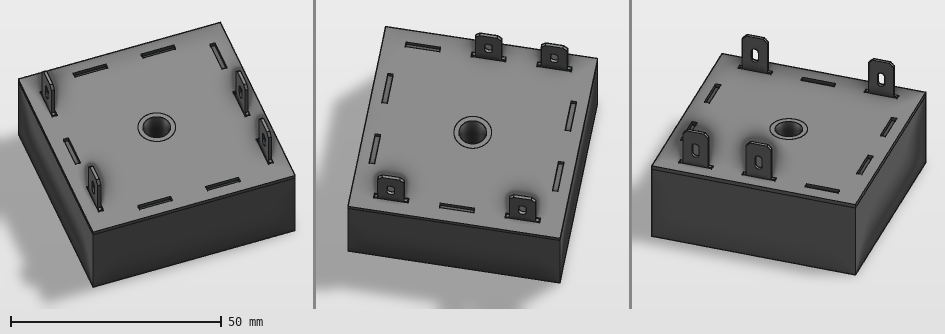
import cadquery as cq

SIDE = 51.3
TOTAL_HEIGHT = 29.45
CASE_HEIGHT = 20.1
LID_THICKNESS = 1.0
HOUSING_HEIGHT = CASE_HEIGHT - LID_THICKNESS

TUBE_DIAMETER = 9.0
BORE_DIAMETER = 6.5

SLOT_LENGTH = 8.3
SLOT_WIDTH = 1.3
SLOT_PITCH = 15.9
ROW_OFFSET = 21.55
SIDE_SLOT_X = 22.15
SIDE_SLOT_Y = 8.6

BLADE_WIDTH = 6.3
BLADE_THICKNESS = 0.75
BLADE_CHAMFER = 1.05
TERMINAL_OFFSET = 21.65
FOOT_WIDTH = 8.05
FOOT_RISE = 0.15
EYE_WIDTH = 1.8
EYE_LENGTH = 3.7
EYE_DROP = 5.15

ROW_SLOTS = [(column * SLOT_PITCH, side * ROW_OFFSET) for column in (-1, 0, 1) for side in (-1, 1)]
SIDE_SLOTS = [(x * SIDE_SLOT_X, y * SIDE_SLOT_Y) for x in (-1, 1) for y in (-1, 1)]

TERMINAL_PLACES = [(-1, -1), (1, -1), (0, 1), (1, 1)]


def make_housing():
    """Square block with a bored tube that rises through the lid."""
    block = cq.Workplane("XY").rect(SIDE, SIDE).extrude(HOUSING_HEIGHT)
    tube = cq.Workplane("XY").circle(TUBE_DIAMETER / 2).extrude(CASE_HEIGHT)
    bore = cq.Workplane("XY").circle(BORE_DIAMETER / 2).extrude(CASE_HEIGHT)
    return block.union(tube).cut(bore)


def make_lid():
    """Thin cover with a hole for the tube and a ring of terminal slots."""
    base = cq.Workplane("XY", origin=(0, 0, HOUSING_HEIGHT))
    plate = base.rect(SIDE, SIDE).circle(TUBE_DIAMETER / 2).extrude(LID_THICKNESS)
    row_slots = base.pushPoints(ROW_SLOTS).rect(SLOT_LENGTH, SLOT_WIDTH).extrude(LID_THICKNESS)
    side_slots = base.pushPoints(SIDE_SLOTS).rect(SLOT_WIDTH, SLOT_LENGTH).extrude(LID_THICKNESS)
    return plate.cut(row_slots).cut(side_slots)


def make_terminal(x, y):
    """Flat terminal standing on the housing, with chamfered tip and an oblong eye."""
    base = cq.Workplane("XY", origin=(x, y, HOUSING_HEIGHT))
    blade = (
        base.rect(BLADE_WIDTH, BLADE_THICKNESS)
        .extrude(TOTAL_HEIGHT - HOUSING_HEIGHT)
        .faces(">Z")
        .edges("|Y")
        .chamfer(BLADE_CHAMFER)
    )
    foot = base.rect(FOOT_WIDTH, BLADE_THICKNESS).extrude(LID_THICKNESS + FOOT_RISE)
    eye = (
        cq.Workplane("XZ", origin=(x, y, TOTAL_HEIGHT - EYE_DROP))
        .slot2D(EYE_LENGTH, EYE_WIDTH, 90)
        .extrude(BLADE_THICKNESS, both=True)
    )
    return blade.union(foot).cut(eye)


housing = make_housing()
lid = make_lid()
terminals = [
    make_terminal(column * SLOT_PITCH, side * TERMINAL_OFFSET) for column, side in TERMINAL_PLACES
]

result = cq.Compound.makeCompound(
    [housing.val(), lid.val(), *[terminal.val() for terminal in terminals]]
)